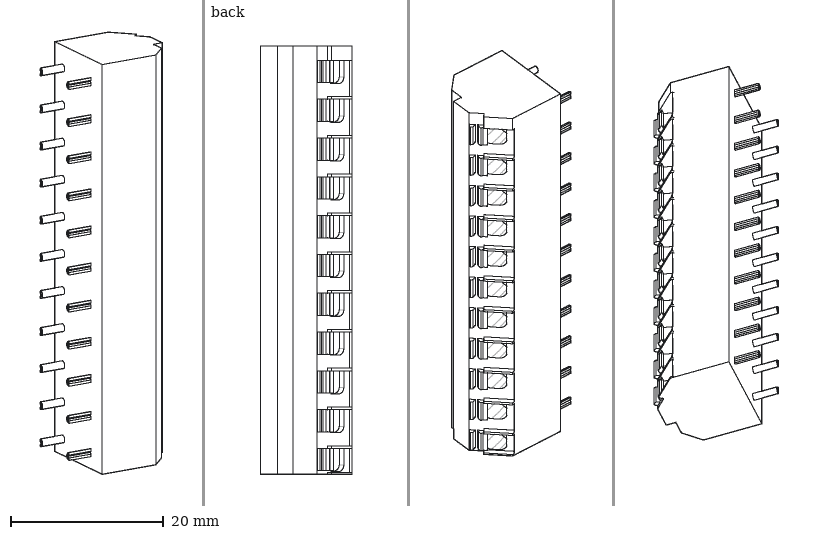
import cadquery as cq

length = 56.1
width = 12.0
height = 11.8

shoulder_y = 8.2
lip_x = 2.7
lip_drop = 0.5
ledge_depth = 1.35
ledge_x = 7.75
inner_offset = shoulder_y - 2 * lip_drop

poles = 11
row_span = 50.8
pitch = row_span / (poles - 1)
top_margin = 1.9
rib = 0.35
end_wall = 0.25
pocket_edge_y = 7.9

entry_top_y = 10.4
entry_width = 2.7
entry_height = 3.05
entry_middle_y = 9.25
entry_floor_y = 6.75
entry_mouth_shift = 0.3
entry_inner_shift = 0.9
entry_radius = 0.85

lever_height = 2.9
lever_tip_y = 12.05
lower_lip = [
    (2.45, entry_top_y),
    (2.9, 10.85),
    (3.0, 11.1),
    (3.4, 11.1),
    (4.05, 10.9),
    (4.05, entry_top_y),
]
upper_lip = [
    (4.05, 11.1),
    (3.8, 11.7),
    (4.0, lever_tip_y),
    (4.2, lever_tip_y),
    (4.6, 11.65),
]

pin_length = 3.5
pin_height = 1.05
pin_depth = 0.55
pin_groove_depth = 0.15
pin_groove_width = 0.4
pin_chamfer = 0.1
pin_back_x = (1.95, 9.2)
pin_below_pocket_top = 1.2
root = 0.3


def prism(points, bottom, top):
    return cq.Workplane("XY").workplane(offset=bottom).polyline(points).close().extrude(top - bottom)


def housing():
    right_slope_rise = height - ledge_depth - shoulder_y
    section = [
        (0, 0),
        (0, shoulder_y),
        (lip_x, shoulder_y + lip_x),
        (lip_x + lip_drop, shoulder_y + lip_x - lip_drop),
        (height - inner_offset, height),
        (ledge_x, height),
        (ledge_x, height - ledge_depth),
        (width - right_slope_rise, height - ledge_depth),
        (width, shoulder_y),
        (width, 0),
    ]
    return prism(section, 0, length)


def pocket(top):
    """Recess down to the inner slope, with a lower side wall square to that slope."""
    bottom = max(top - pitch + rib, end_wall)
    foot_x = (pocket_edge_y - inner_offset) / 2
    section = [
        (0, pocket_edge_y),
        (foot_x, foot_x + inner_offset),
        (height - inner_offset, height),
        (0, height),
    ]
    return prism(section, bottom, top)


def wire_entry(top):
    """Gently curved passage with two rounded lower corners."""
    far_x = entry_top_y - inner_offset
    middle_x = far_x + entry_mouth_shift
    floor_x = middle_x + entry_inner_shift
    passage = (
        cq.Workplane("XY", origin=(0, 0, top - entry_height))
        .moveTo(far_x - entry_width, entry_top_y)
        .lineTo(far_x, entry_top_y)
        .threePointArc((middle_x, entry_middle_y), (floor_x, entry_floor_y))
        .lineTo(floor_x - entry_width, entry_floor_y)
        .threePointArc((middle_x - entry_width, entry_middle_y), (far_x - entry_width, entry_top_y))
        .close()
        .extrude(entry_height)
    )
    return passage.faces("<Z").edges("not #Y").edges("not |X").fillet(entry_radius)


def lever(top):
    """Two lips on the inner slope with a screwdriver notch between them."""
    lips = prism(lower_lip, top - lever_height, top)
    return lips.union(prism(upper_lip, top - lever_height, top))


def pin(back_x, facing, z):
    """Half-round pin with a V groove along its flat back; facing is the X sense of its round side."""
    half = pin_height / 2
    groove = pin_groove_width / 2
    blade = (
        cq.Workplane("XZ", origin=(back_x, root, z))
        .moveTo(0, -half)
        .threePointArc((facing * pin_depth, 0), (0, half))
        .lineTo(0, groove)
        .lineTo(facing * pin_groove_depth, 0)
        .lineTo(0, -groove)
        .close()
        .extrude(pin_length + root)
    )
    return blade.faces("<Y").chamfer(pin_chamfer)


pocket_tops = [length - top_margin - i * pitch for i in range(poles)]

result = housing()
for pocket_top in pocket_tops:
    result = result.cut(pocket(pocket_top)).cut(wire_entry(pocket_top))
    result = result.union(lever(pocket_top))
    for pin_x, pin_facing in zip(pin_back_x, (1, -1)):
        result = result.union(pin(pin_x, pin_facing, pocket_top - pin_below_pocket_top))